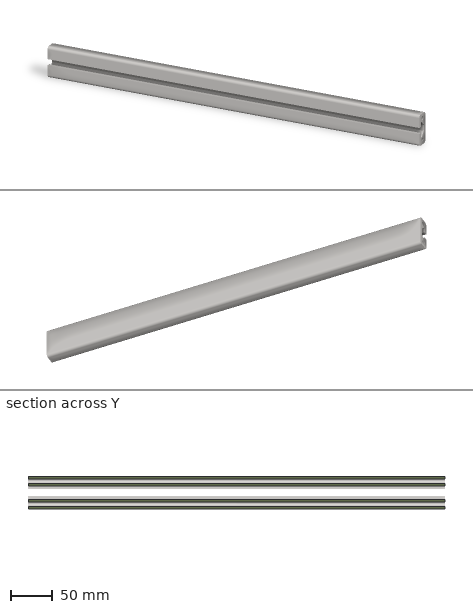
import cadquery as cq

length = 500.0
depth = 16.0
height = 40.0
corner_radius = 3.5

mouth_width = 8.0
lip_thickness = 4.5
cavity_width = 20.0
cavity_side_depth = 1.5
floor_width = 7.5
floor_thickness = 4.0

bore_diameter = 5.0
bore_spacing = 27.5


def make_bar():
    """Solid bar with rounded long edges, centred on the origin."""
    return cq.Workplane("XY").box(length, depth, height).edges("|X").fillet(corner_radius)


def make_slot():
    """T-slot with sloping sides that narrow towards its floor."""
    front = -depth / 2
    lip = front + lip_thickness
    slope_start = lip + cavity_side_depth
    floor = depth / 2 - floor_thickness
    upper_half = [
        (front, mouth_width / 2),
        (lip, mouth_width / 2),
        (lip, cavity_width / 2),
        (slope_start, cavity_width / 2),
        (floor, floor_width / 2),
    ]
    lower_half = [(y, -z) for y, z in reversed(upper_half)]
    outline = cq.Workplane("YZ").polyline(upper_half + lower_half).close()
    return outline.extrude(length / 2, both=True)


def make_bores():
    """Pair of round bores running the full length."""
    centres = [(0, -bore_spacing / 2), (0, bore_spacing / 2)]
    bores = cq.Workplane("YZ").pushPoints(centres).circle(bore_diameter / 2)
    return bores.extrude(length / 2, both=True)


result = make_bar().cut(make_slot()).cut(make_bores())